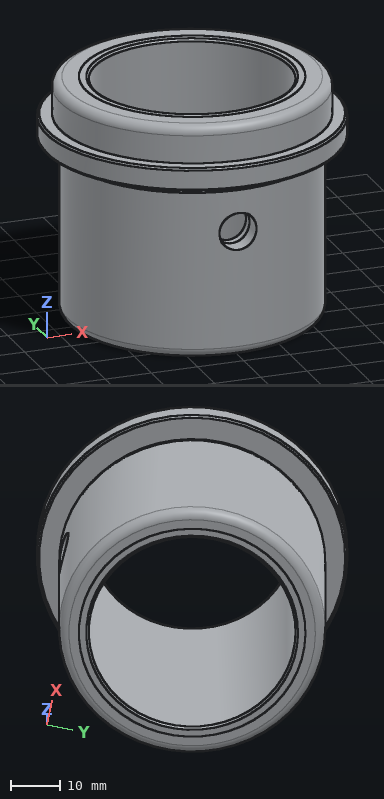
import cadquery as cq

height = 51.0
flange_bottom = 38.05
flange_top = 43.0
hole_height = 27.0

flange_radius = 31.5
head_radius = 28.45
body_radius = 27.0
neck_radius = 26.3
liner_outer_radius = 23.0
bore_radius = 21.0

end_fillet = 2.0
flange_chamfer = 0.45
neck_height = 2.0
bore_chamfer = 0.5
hole_diameter = 8.0


def make_housing():
    """Flanged sleeve with a rounded undercut neck below the flange."""
    neck_bottom = flange_bottom - neck_height
    neck_depth = body_radius - neck_radius
    neck_arc_radius = (neck_depth**2 + neck_height**2) / (2 * neck_depth)
    flange_edge_radius = flange_radius - flange_chamfer
    sleeve = (
        cq.Workplane("XZ")
        .moveTo(neck_radius, flange_bottom)
        .lineTo(flange_edge_radius, flange_bottom)
        .lineTo(flange_radius, flange_bottom + flange_chamfer)
        .lineTo(flange_radius, flange_top - flange_chamfer)
        .lineTo(flange_edge_radius, flange_top)
        .lineTo(head_radius, flange_top)
        .lineTo(head_radius, height - end_fillet)
        .radiusArc((head_radius - end_fillet, height), -end_fillet)
        .lineTo(liner_outer_radius, height)
        .lineTo(liner_outer_radius, 0)
        .lineTo(body_radius - end_fillet, 0)
        .radiusArc((body_radius, end_fillet), -end_fillet)
        .lineTo(body_radius, neck_bottom)
        .radiusArc((neck_radius, flange_bottom), neck_arc_radius)
        .close()
        .revolve(360, (0, 0, 0), (0, 1, 0))
    )
    return sleeve.cut(make_hole_cutter())


def make_hole_cutter():
    """Radial hole on the -Y side, running from the axis to the outside."""
    return (
        cq.Workplane("XZ")
        .center(0, hole_height)
        .circle(hole_diameter / 2)
        .extrude(flange_radius)
    )


def make_liner():
    """Bushing inside the housing, with chamfered bore ends and the same radial hole."""
    bushing = (
        cq.Workplane("XY")
        .circle(liner_outer_radius)
        .circle(bore_radius)
        .extrude(height)
        .edges(cq.selectors.RadiusNthSelector(0))
        .chamfer(bore_chamfer)
    )
    return bushing.cut(make_hole_cutter())


housing = make_housing()
liner = make_liner()
result = cq.Compound.makeCompound([housing.val(), liner.val()])